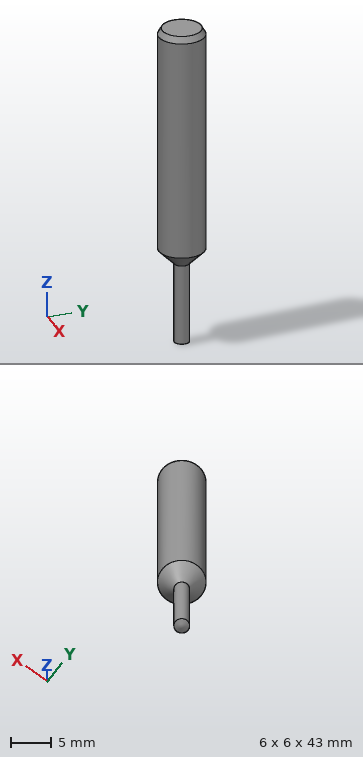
import cadquery as cq

total_length = 43.0

shank_radius = 3.0
shank_base_z = 13.0
top_chamfer_radial = 0.47
top_chamfer_height = 0.8

cutter_radius = 1.0
point_height = 0.3
taper_height = shank_radius - cutter_radius
cutter_top_z = shank_base_z - taper_height


def revolve_profile(points):
    """Revolve a closed (radius, height) outline about the Z axis."""
    return cq.Workplane("XZ").polyline(points).close().revolve(360, (0, 0), (0, 1))


def make_shank():
    """Cylindrical shank with its top chamfer and its lower taper."""
    return revolve_profile([
        (0, cutter_top_z),
        (cutter_radius, cutter_top_z),
        (shank_radius, shank_base_z),
        (shank_radius, total_length - top_chamfer_height),
        (shank_radius - top_chamfer_radial, total_length),
        (0, total_length),
    ])


def make_cutter():
    """Slender cutter that meets the flat small end of the taper."""
    return revolve_profile([
        (0, 0),
        (cutter_radius, point_height),
        (cutter_radius, cutter_top_z),
        (0, cutter_top_z),
    ])


shank = make_shank()
cutter = make_cutter()

result = cq.Compound.makeCompound([shank.val(), cutter.val()])